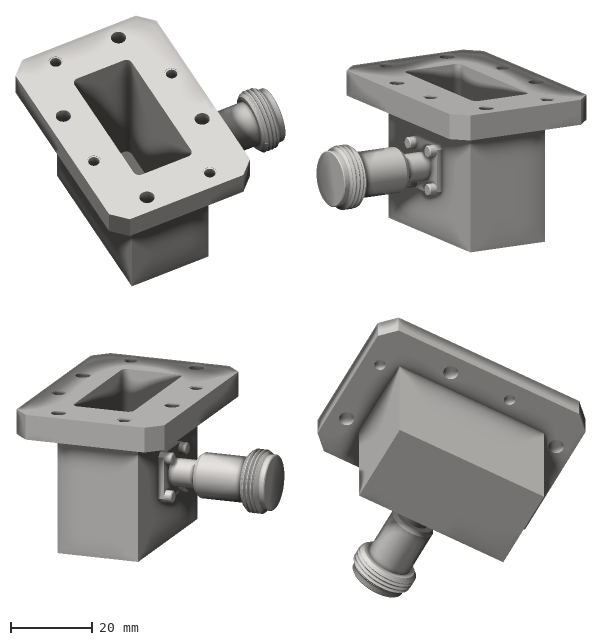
import cadquery as cq


overall_length = 58.2
total_height = 37.3
flange_width = 57.9
flange_depth = 38.9
flange_thickness = 6.35
flange_corner_cut = 3.8
cavity_width = 34.85
cavity_depth = 15.8
cavity_corner_radius = 1.5
wall = 2.7
body_width = cavity_width + 2 * wall
body_depth = cavity_depth + 2 * wall
flange_bottom = total_height - flange_thickness

clearance_diameter = 3.7
tap_diameter = 2.8
tap_recess_diameter = 3.55
tap_recess_depth = 0.1
end_hole_x = 24.55
end_hole_y = 8.65
side_hole_x = 8.2
side_hole_y = 14.95

axis_height = 17.75
body_face = body_depth / 2
connector_front = overall_length - flange_depth / 2
plate_size = 12.75
plate_thickness = 1.5
plate_corner_cut = 1.05
screw_head_diameter = 3.0
screw_head_height = 1.9
screw_head_chamfer = 0.25
screw_offset = (plate_size - screw_head_diameter) / 2
neck_diameter = 7.1
barrel_diameter = 11.4
barrel_back_diameter = 10.1
barrel_taper_length = 1.0
barrel_back_gap = 8.6
barrel_back = body_face + barrel_back_gap

collar_length = 6.4
collar_diameter = 13.95
collar_front_chamfer = 0.25
plain_front_length = 1.5
thread_diameter = 15.95
thread_taper_length = (thread_diameter - collar_diameter) / 2
thread_pitch = 1.05
thread_turns = 4
thread_depth = 0.6
groove_start_gap = 0.5
groove_mouth_width = 0.9
groove_root_width = 0.1
groove_overshoot = 0.2
collar_back = connector_front - collar_length


def make_waveguide():
    """Closed rectangular body with a corner-cut flange and an open cavity."""
    body = cq.Workplane("XY").box(body_width, body_depth, total_height, centered=(True, True, False))
    flange = (
        cq.Workplane("XY", origin=(0, 0, flange_bottom))
        .box(flange_width, flange_depth, flange_thickness, centered=(True, True, False))
        .edges("|Z")
        .chamfer(flange_corner_cut)
    )
    cavity = (
        cq.Workplane("XY", origin=(0, 0, wall))
        .box(cavity_width, cavity_depth, total_height, centered=(True, True, False))
        .edges("|Z")
        .fillet(cavity_corner_radius)
    )
    return body.union(flange).cut(cavity)


def drill_flange(part):
    """Four plain clearance holes and four tapped holes with shallow recesses."""
    clearance_points = []
    tapped_points = []
    for side in (1, -1):
        clearance_points.append((side * side_hole_x, side * side_hole_y))
        clearance_points.append((-side * end_hole_x, side * end_hole_y))
        tapped_points.append((-side * side_hole_x, side * side_hole_y))
        tapped_points.append((side * end_hole_x, side * end_hole_y))
    top = cq.Workplane("XY", origin=(0, 0, total_height))
    clearance = top.pushPoints(clearance_points).circle(clearance_diameter / 2).extrude(-flange_thickness)
    tapped = top.pushPoints(tapped_points).circle(tap_diameter / 2).extrude(-flange_thickness)
    recesses = top.pushPoints(tapped_points).circle(tap_recess_diameter / 2).extrude(-tap_recess_depth)
    return part.cut(clearance).cut(tapped).cut(recesses)


def facing_plane(y):
    """Plane across the connector axis at the given Y, with its normal along +Y."""
    return cq.Workplane(cq.Plane(origin=(0, y, axis_height), xDir=(1, 0, 0), normal=(0, 1, 0)))


def make_mounting_plate():
    """Square plate on the body wall, held by four screws."""
    plate = (
        facing_plane(body_face)
        .rect(plate_size, plate_size)
        .extrude(plate_thickness)
        .edges("|Y")
        .chamfer(plate_corner_cut)
    )
    heads = (
        facing_plane(body_face + plate_thickness)
        .rect(2 * screw_offset, 2 * screw_offset, forConstruction=True)
        .vertices()
        .circle(screw_head_diameter / 2)
        .extrude(screw_head_height)
        .faces(">Y")
        .chamfer(screw_head_chamfer)
    )
    return plate.union(heads)


def make_connector():
    """Neck, barrel and collar, turned about the connector axis."""
    front_radius = collar_diameter / 2
    profile = [
        (0, body_face),
        (neck_diameter / 2, body_face),
        (neck_diameter / 2, barrel_back),
        (barrel_back_diameter / 2, barrel_back),
        (barrel_diameter / 2, barrel_back + barrel_taper_length),
        (barrel_diameter / 2, collar_back),
        (front_radius, collar_back),
        (thread_diameter / 2, collar_back + thread_taper_length),
        (thread_diameter / 2, connector_front - plain_front_length - thread_taper_length),
        (front_radius, connector_front - plain_front_length),
        (front_radius, connector_front - collar_front_chamfer),
        (front_radius - collar_front_chamfer, connector_front),
        (0, connector_front),
    ]
    turned = cq.Workplane("XY").polyline(profile).close().revolve(360, (0, 0), (0, 1))
    return turned.translate((0, 0, axis_height))


def make_thread_groove():
    """Left-hand V groove that runs out through the tapers at both ends of the thread."""
    start = collar_back + groove_start_gap
    root_radius = thread_diameter / 2 - thread_depth
    outer_radius = thread_diameter / 2 + groove_overshoot
    flank_slope = (groove_mouth_width - groove_root_width) / 2 / thread_depth
    half_root = groove_root_width / 2
    half_outer = half_root + flank_slope * (outer_radius - root_radius)
    helix = cq.Wire.makeHelix(thread_pitch, thread_pitch * thread_turns, root_radius, lefthand=True)
    groove = (
        cq.Workplane("XZ")
        .polyline([
            (root_radius, -half_root),
            (outer_radius, -half_outer),
            (outer_radius, half_outer),
            (root_radius, half_root),
        ])
        .close()
        .sweep(cq.Workplane(helix), isFrenet=True)
    )
    return groove.rotate((0, 0, 0), (1, 0, 0), -90).translate((0, start, axis_height))


connector = make_connector().cut(make_thread_groove())
result = drill_flange(make_waveguide()).union(make_mounting_plate()).union(connector)